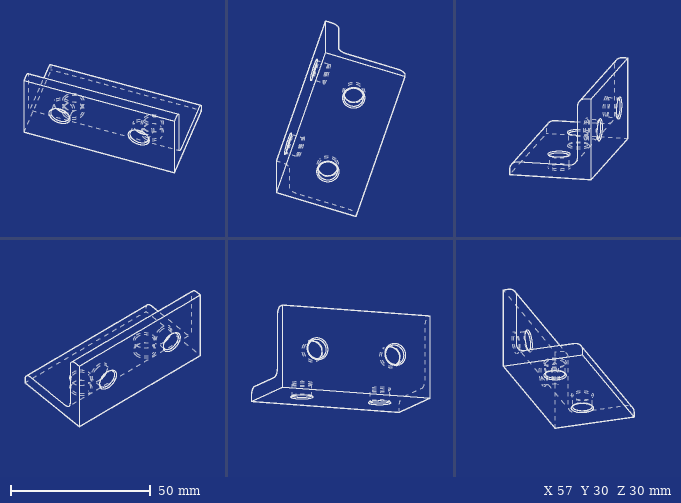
import cadquery as cq

length = 57.0
leg = 30.0
thickness = 5.0
edge_radius = 3.0
root_radius = 3.0
hole_diameter = 7.0
hole_chamfer = 0.5
hole_spacing = 30.0

hole_height = leg / 2
hole_positions = [-hole_spacing / 2, hole_spacing / 2]


def round_long_edge(bar, y, z, radius):
    """Fillet the edge that runs along X through the point (y, z)."""
    edge = cq.selectors.NearestToPointSelector((0, y, z))
    return bar.edges(edge).fillet(radius)


def angle_bar():
    """L-section with its outer corner on the X axis, centred along X."""
    bar = (
        cq.Workplane("YZ", origin=(-length / 2, 0, 0))
        .polyline([
            (0, 0),
            (leg, 0),
            (leg, thickness),
            (thickness, thickness),
            (thickness, leg),
            (0, leg),
        ])
        .close()
        .extrude(length)
    )
    bar = round_long_edge(bar, leg, thickness, edge_radius)
    bar = round_long_edge(bar, thickness, leg, edge_radius)
    return round_long_edge(bar, thickness, thickness, root_radius)


def hole_cutter():
    """Tool for one hole through a leg: revolved about Z, entering at z = 0."""
    radius = hole_diameter / 2
    rim_radius = radius + hole_chamfer
    return (
        cq.Workplane("XZ")
        .polyline([
            (0, 0),
            (rim_radius, 0),
            (radius, hole_chamfer),
            (radius, thickness - hole_chamfer),
            (rim_radius, thickness),
            (0, thickness),
        ])
        .close()
        .revolve(360, (0, 0, 0), (0, 1, 0))
    )


result = angle_bar()
for x in hole_positions:
    base_hole = hole_cutter().translate((x, hole_height, 0))
    wall_hole = hole_cutter().rotate((0, 0, 0), (1, 0, 0), -90).translate((x, 0, hole_height))
    result = result.cut(base_hole).cut(wall_hole)